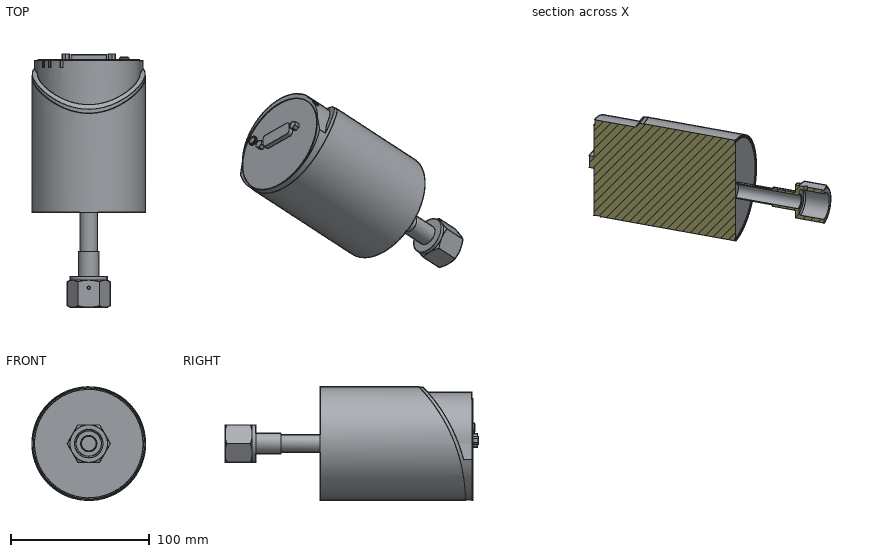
import cadquery as cq
import math

TOTAL_LENGTH = 182.5
BODY_DIAMETER = 82.0

HEX_LENGTH = 19.5
NUT_LENGTH = 22.3
COLLAR_END = 40.3
BODY_FRONT = 68.5
HEX_SIDES = 6
HEX_FLATS = 27.0
NUT_CHAMFER_ANGLE = 30.0
COLLAR_DIAMETER = 15.0
COLLAR_EDGE_FILLET = 0.5
PIPE_DIAMETER = 12.8
NUT_BORE_DIAMETER = 20.5
NUT_BORE_DEPTH = 18.3
NUT_SEAT_TAPER = 1.1
PIPE_BORE_DIAMETER = 10.5
PIPE_BORE_CHAMFER = 0.5
VENT_DIAMETER = 2.2
VENT_Y = 14.0

CORE_RADIUS = 40.7
GROOVE_RADIUS = 40.0
FRONT_PLATE_RADIUS = 39.0
FRONT_GROOVE_DEPTH = 0.5
SHOULDER_RADIUS = 120.6
SHOULDER_CENTER_Y = 55.3
SHOULDER_CENTER_Z = -42.5
SLEEVE_SETBACK = 2.7

CAP_END = 177.8
CAP_RADIUS = 37.0
CAP_FLANK_DROP = 11.3
MARK_ANGLES = (122.0, 140.0, 152.0)
MARK_WIDTH = 2.2
MARK_LENGTH = 5.1
MARK_DEPTH = 0.5

PLATE_THICKNESS = 0.7
PLATE_RADIUS = 36.7
PLATE_CENTER_Z = -4.2
CONNECTOR_Z = 2.2
CONNECTOR_WIDTH = 26.0
CONNECTOR_HEIGHT = 9.9
CONNECTOR_CORNER = 2.7
CONNECTOR_END = 182.0
SCREW_OFFSET = 16.6
SCREW_CORNERS = 6.0
ADJUSTER_X = 25.5
ADJUSTER_Z = 11.5
ADJUSTER_DIAMETER = 7.0
ADJUSTER_HEIGHT = 1.1
ADJUSTER_TIP_DIAMETER = 5.3
ADJUSTER_TIP_HEIGHT = 0.5

BODY_RADIUS = BODY_DIAMETER / 2
PLATE_END = CAP_END + PLATE_THICKNESS


def section_at(y):
    """Plane across the body at y, with local x along X and local y along Z, facing the nut."""
    return cq.Workplane(cq.Plane(origin=(0, y, 0), xDir=(1, 0, 0), normal=(0, -1, 0)))


def round_bar(radius, start, end, x=0.0, z=0.0):
    return section_at(start).center(x, z).circle(radius).extrude(start - end)


def end_cone(start, end, start_radius, end_radius):
    """Solid cone around the main axis, used for turned chamfers."""
    outline = [(0, start), (start_radius, start), (end_radius, end), (0, end)]
    return cq.Workplane("XY").polyline(outline).close().revolve(360, (0, 0), (0, 1))


def make_hex():
    """Hexagon with flats facing up and down, its corners turned off at both ends."""
    flat_radius = HEX_FLATS / 2
    corner_radius = flat_radius / math.cos(math.pi / HEX_SIDES)
    chamfer_length = (corner_radius - flat_radius) * math.tan(math.radians(NUT_CHAMFER_ANGLE))
    hexagon = section_at(0).polygon(HEX_SIDES, 2 * corner_radius).extrude(-HEX_LENGTH)
    turned = (
        cq.Workplane("XY")
        .moveTo(0, 0)
        .lineTo(flat_radius, 0)
        .lineTo(corner_radius, chamfer_length)
        .lineTo(corner_radius, HEX_LENGTH - chamfer_length)
        .lineTo(flat_radius, HEX_LENGTH)
        .lineTo(0, HEX_LENGTH)
        .close()
        .revolve(360, (0, 0), (0, 1))
    )
    return hexagon.intersect(turned)


def make_pipe_and_nut():
    collar = round_bar(COLLAR_DIAMETER / 2, NUT_LENGTH, COLLAR_END).faces(">Y").edges()
    collar = collar.fillet(COLLAR_EDGE_FILLET)
    solid = make_hex().union(round_bar(HEX_FLATS / 2, HEX_LENGTH, NUT_LENGTH)).union(collar)
    solid = solid.union(round_bar(PIPE_DIAMETER / 2, COLLAR_END, BODY_FRONT))

    bore_radius = NUT_BORE_DIAMETER / 2
    pipe_bore_radius = PIPE_BORE_DIAMETER / 2
    seat_end = NUT_BORE_DEPTH + NUT_SEAT_TAPER
    lead_in_end = seat_end + PIPE_BORE_CHAMFER
    solid = solid.cut(round_bar(bore_radius, 0, NUT_BORE_DEPTH))
    solid = solid.cut(end_cone(NUT_BORE_DEPTH, seat_end, bore_radius, bore_radius - NUT_SEAT_TAPER))
    solid = solid.cut(end_cone(seat_end, lead_in_end, pipe_bore_radius + PIPE_BORE_CHAMFER, pipe_bore_radius))
    solid = solid.cut(round_bar(pipe_bore_radius, lead_in_end, BODY_FRONT))

    vent = cq.Workplane("XY").center(0, VENT_Y).circle(VENT_DIAMETER / 2).extrude(HEX_FLATS / 2)
    return solid.cut(vent)


def shoulder_limit(setback):
    """Cylinder along X that rounds off the body; setback moves it towards the nut."""
    return (
        cq.Workplane("YZ")
        .center(SHOULDER_CENTER_Y - setback, SHOULDER_CENTER_Z)
        .circle(SHOULDER_RADIUS)
        .extrude(BODY_DIAMETER, both=True)
    )


def cap_limit():
    """Bar that leaves the cap a narrow half round on top and sloped flanks, and its full width below."""
    flank_x = math.sqrt(CORE_RADIUS**2 - CAP_FLANK_DROP**2)
    return (
        section_at(BODY_FRONT)
        .moveTo(CAP_RADIUS, 0)
        .threePointArc((0, CAP_RADIUS), (-CAP_RADIUS, 0))
        .lineTo(-flank_x, -CAP_FLANK_DROP)
        .lineTo(-BODY_DIAMETER, -CAP_FLANK_DROP)
        .lineTo(-BODY_DIAMETER, -BODY_DIAMETER)
        .lineTo(BODY_DIAMETER, -BODY_DIAMETER)
        .lineTo(BODY_DIAMETER, -CAP_FLANK_DROP)
        .lineTo(flank_x, -CAP_FLANK_DROP)
        .close()
        .extrude(BODY_FRONT - CAP_END)
    )


def make_mark(angle):
    """Shallow slot in the rim of the cap, at an angle from +X towards +Z."""
    return (
        cq.Workplane("XY")
        .box(2 * MARK_DEPTH, MARK_LENGTH, MARK_WIDTH)
        .translate((CAP_RADIUS, CAP_END - MARK_LENGTH / 2, 0))
        .rotate((0, 0, 0), (0, 1, 0), -angle)
    )


def make_body():
    core = round_bar(CORE_RADIUS, BODY_FRONT, CAP_END)
    core = core.intersect(shoulder_limit(0).union(cap_limit()))
    for angle in MARK_ANGLES:
        core = core.cut(make_mark(angle))
    sleeve = round_bar(BODY_RADIUS, BODY_FRONT, CAP_END).intersect(shoulder_limit(SLEEVE_SETBACK))

    groove_end = BODY_FRONT + FRONT_GROOVE_DEPTH
    groove = round_bar(GROOVE_RADIUS, BODY_FRONT, groove_end)
    groove = groove.cut(round_bar(FRONT_PLATE_RADIUS, BODY_FRONT, groove_end))
    return core.union(sleeve).cut(groove)


def make_end_fittings():
    """Round plate carrying the connector shell, its two hexagon screws and the adjuster."""
    fittings = round_bar(PLATE_RADIUS, CAP_END, PLATE_END, z=PLATE_CENTER_Z)
    shell = (
        section_at(PLATE_END)
        .center(0, CONNECTOR_Z)
        .rect(CONNECTOR_WIDTH, CONNECTOR_HEIGHT)
        .extrude(PLATE_END - CONNECTOR_END)
        .edges("|Y")
        .fillet(CONNECTOR_CORNER)
    )
    fittings = fittings.union(shell)
    for x in (-SCREW_OFFSET, SCREW_OFFSET):
        screw = (
            section_at(PLATE_END)
            .center(x, CONNECTOR_Z)
            .transformed(rotate=(0, 0, 90))
            .polygon(HEX_SIDES, SCREW_CORNERS)
            .extrude(PLATE_END - TOTAL_LENGTH)
        )
        fittings = fittings.union(screw)
    base_end = PLATE_END + ADJUSTER_HEIGHT
    tip_end = base_end + ADJUSTER_TIP_HEIGHT
    fittings = fittings.union(round_bar(ADJUSTER_DIAMETER / 2, PLATE_END, base_end, ADJUSTER_X, ADJUSTER_Z))
    return fittings.union(round_bar(ADJUSTER_TIP_DIAMETER / 2, base_end, tip_end, ADJUSTER_X, ADJUSTER_Z))


result = make_body().union(make_pipe_and_nut()).union(make_end_fittings())